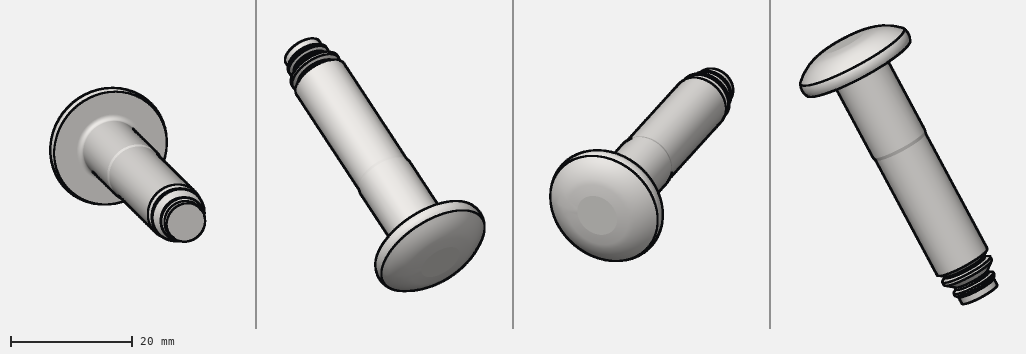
import cadquery as cq

length = 47.7
dome_end = 2.6
head_back = 4.75
shoulder_start = 19.15
shoulder_end = 19.75
shank_end = 41.55
first_groove_start = 42.25
first_groove_end = 42.55
large_ring_start = 42.95
large_ring_end = 43.55
second_groove_start = 44.7
second_groove_end = 45.1
small_ring_start = 45.55
small_ring_end = 45.95
tail_start = 46.4

head_radius = 19.9 / 2
rim_edge_radius = 9.7
face_radius = 3.58
grip_radius = 9.75 / 2
shank_radius = 9.4 / 2
first_groove_radius = 7.45 / 2
large_ring_radius = 8.95 / 2
second_groove_radius = 6.15 / 2
small_ring_radius = 7.45 / 2
tail_radius = 6.65 / 2
neck_fillet = 0.85

rim_middle = (dome_end + head_back) / 2
profile = (
    cq.Workplane("XY")
    .lineTo(0, face_radius)
    .tangentArcPoint((dome_end, rim_edge_radius), relative=False)
    .threePointArc((rim_middle, head_radius), (head_back, rim_edge_radius))
    .lineTo(head_back, grip_radius + neck_fillet)
    .tangentArcPoint((head_back + neck_fillet, grip_radius), relative=False)
    .lineTo(shoulder_start, grip_radius)
    .lineTo(shoulder_end, shank_radius)
    .lineTo(shank_end, shank_radius)
    .lineTo(first_groove_start, first_groove_radius)
    .lineTo(first_groove_end, first_groove_radius)
    .lineTo(large_ring_start, large_ring_radius)
    .lineTo(large_ring_end, large_ring_radius)
    .lineTo(second_groove_start, second_groove_radius)
    .lineTo(second_groove_end, second_groove_radius)
    .lineTo(small_ring_start, small_ring_radius)
    .lineTo(small_ring_end, small_ring_radius)
    .lineTo(tail_start, tail_radius)
    .lineTo(length, tail_radius)
    .lineTo(length, 0)
    .close()
)

result = profile.revolve(360, (0, 0, 0), (1, 0, 0))